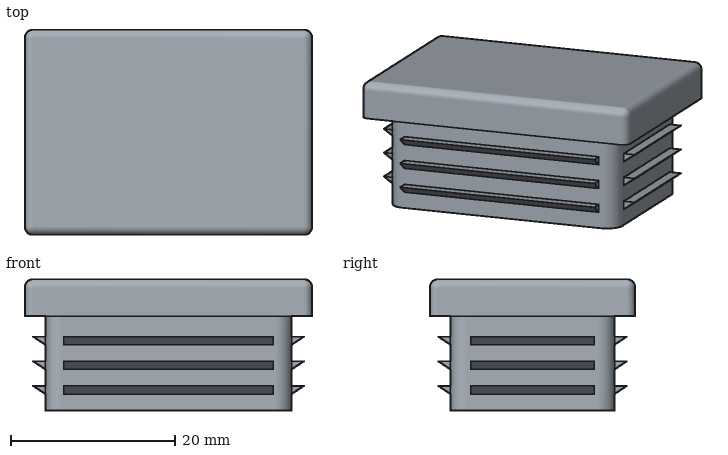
import cadquery as cq

cap_length = 35.0
cap_width = 25.0
cap_height = 4.5
cap_edge_radius = 1.0

plug_inset = 2.5
plug_length = cap_length - 2 * plug_inset
plug_width = cap_width - 2 * plug_inset
plug_height = 11.5
plug_corner_radius = 2.0

fin_reach = 1.5
fin_height = 1.0
end_fin_length = 15.0
side_fin_length = 25.5
fin_embed = 0.5
fin_pitch = 3.0
fin_count = 3
lowest_fin_top = 3.0


def make_cap():
    """Plate with rounded vertical corners and a rounded top edge."""
    base = cq.Workplane("XY").workplane(offset=plug_height)
    plate = base.rect(cap_length, cap_width).extrude(cap_height)
    return plate.edges("|Z or >Z").fillet(cap_edge_radius)


def make_plug():
    """Solid block with rounded vertical corners, standing on the XY plane."""
    block = cq.Workplane("XY").rect(plug_length, plug_width).extrude(plug_height)
    return block.edges("|Z").fillet(plug_corner_radius)


def make_fin(wall_distance, fin_length, top):
    """Fin on the +X wall: flat top, sloping underside, rooted slightly inside the wall."""
    root = wall_distance - fin_embed
    profile = [
        (root, top),
        (wall_distance + fin_reach, top),
        (wall_distance, top - fin_height),
        (root, top - fin_height),
    ]
    return cq.Workplane("XZ").polyline(profile).close().extrude(fin_length / 2, both=True)


def make_fins_on_opposite_walls(wall_distance, fin_length, turn):
    """All fins of one facing pair of walls; turn rotates the pair about Z."""
    fins = cq.Workplane("XY")
    for index in range(fin_count):
        fin = make_fin(wall_distance, fin_length, lowest_fin_top + index * fin_pitch)
        for side_turn in (turn, turn + 180):
            fins = fins.add(fin.rotate((0, 0, 0), (0, 0, 1), side_turn))
    return fins.combine()


end_fins = make_fins_on_opposite_walls(plug_length / 2, end_fin_length, 0)
side_fins = make_fins_on_opposite_walls(plug_width / 2, side_fin_length, 90)

result = make_cap().union(make_plug()).union(end_fins).union(side_fins)